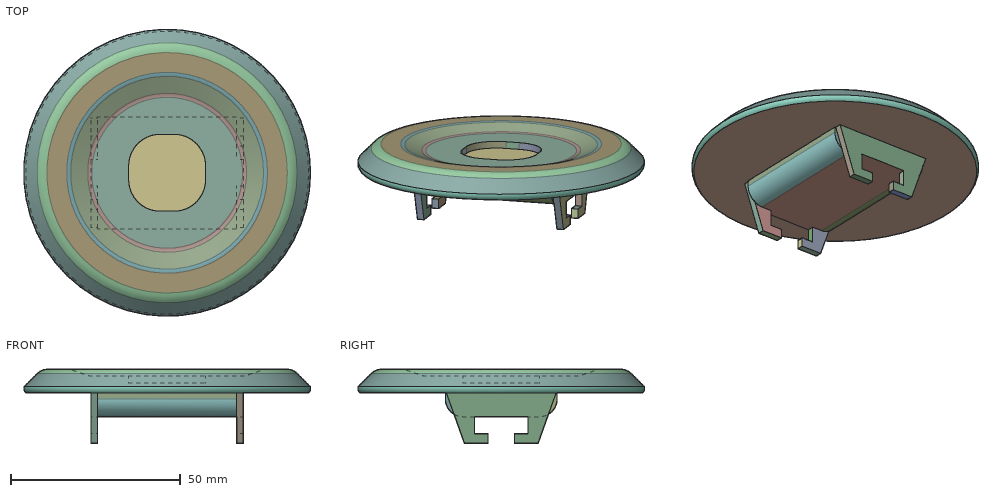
import cadquery as cq

disc_radius = 42.3
disc_height = 7.0
rim_height = 1.9
rim_widest_z = 1.3
rim_bottom_radius = 41.7
rim_start_radius = 42.2
shoulder_width = 2.9
flank_height = 3.9

dish_top_radius = 29.6
dish_floor_radius = 22.2
dish_depth = 2.0
dish_blend_width = 1.2
dish_blend_height = 0.2

pocket_side = 22.65
pocket_corner = 9.3
pocket_depth = 2.0

block_width = 33.0
block_height = 7.0
block_fillet = 5.2
plate_span = 45.0
plate_thickness = 2.0
plate_height = 14.9
plate_top_width = 32.3
plate_foot_width = 21.7
slot_width = 15.6
slot_gap = 7.8
lip_height = 2.9


def make_disc():
    """Revolve the disc profile, including the dish, around Z."""
    flank_top_z = rim_height + flank_height
    flank_top_radius = rim_start_radius - flank_height
    top_face_radius = flank_top_radius - shoulder_width
    dish_floor_z = disc_height - dish_depth
    profile = (
        cq.Workplane("XZ")
        .lineTo(rim_bottom_radius, 0)
        .threePointArc((disc_radius, rim_widest_z), (rim_start_radius, rim_height))
        .lineTo(flank_top_radius, flank_top_z)
        .tangentArcPoint((top_face_radius, disc_height), relative=False)
        .lineTo(dish_top_radius, disc_height)
        .tangentArcPoint(
            (dish_top_radius - dish_blend_width, disc_height - dish_blend_height), relative=False
        )
        .lineTo(dish_floor_radius + dish_blend_width, dish_floor_z + dish_blend_height)
        .tangentArcPoint((dish_floor_radius, dish_floor_z), relative=False)
        .lineTo(0, dish_floor_z)
        .close()
    )
    return profile.revolve(360, (0, 0, 0), (0, 1, 0))


def make_pocket():
    floor_z = disc_height - dish_depth - pocket_depth
    return (
        cq.Workplane("XY", origin=(0, 0, floor_z))
        .rect(pocket_side, pocket_side)
        .extrude(disc_height)
        .edges("|Z")
        .fillet(pocket_corner)
    )


def make_block():
    length = plate_span - 2 * plate_thickness
    return (
        cq.Workplane("XY")
        .rect(length, block_width)
        .extrude(-block_height)
        .edges("|X and <Z")
        .fillet(block_fillet)
    )


def make_plate(start_x):
    """Tapered clip plate with a T-shaped slot open at its foot."""
    lip_z = lip_height - plate_height
    right_half = [
        (plate_top_width / 2, 0),
        (plate_foot_width / 2, -plate_height),
        (slot_gap / 2, -plate_height),
        (slot_gap / 2, lip_z),
        (slot_width / 2, lip_z),
        (slot_width / 2, -block_height),
    ]
    left_half = [(-y, z) for y, z in reversed(right_half)]
    return (
        cq.Workplane("YZ", origin=(start_x, 0, 0))
        .polyline(right_half + left_half)
        .close()
        .extrude(plate_thickness)
    )


result = make_disc().cut(make_pocket()).union(make_block())
for plate_start in (-plate_span / 2, plate_span / 2 - plate_thickness):
    result = result.union(make_plate(plate_start))